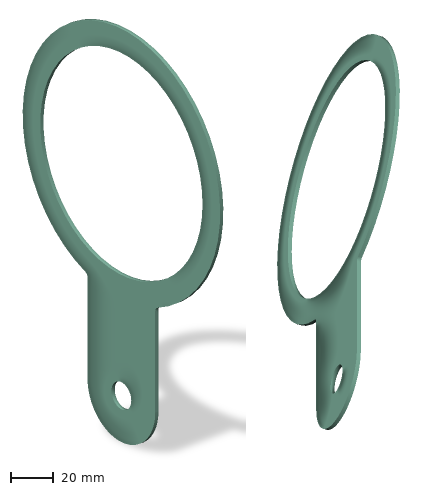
import cadquery as cq
import math

thickness = 2.0
ring_outer_diameter = 140.0
ring_bore_diameter = 115.0
tab_width = 48.0
tab_hole_diameter = 14.0
tab_hole_distance = 120.0
corner_fillet_radius = 2.5

corner_z = -math.sqrt((ring_outer_diameter / 2) ** 2 - (tab_width / 2) ** 2)
corner_search_size = 1.0


def plate_sketch():
    """XZ sketch plane on the +Y face, so the plate is centred on Y = 0."""
    return cq.Workplane("XZ", origin=(0, thickness / 2, 0))


def disc(diameter, centre_z):
    """Flat disc in the XZ plane, as thick as the plate."""
    return (
        plate_sketch()
        .center(0, centre_z)
        .circle(diameter / 2)
        .extrude(thickness)
    )


def tab():
    """Strip from the ring centre to the tab hole, with a full-radius end."""
    strip = (
        plate_sketch()
        .center(0, -tab_hole_distance / 2)
        .rect(tab_width, tab_hole_distance)
        .extrude(thickness)
    )
    return strip.union(disc(tab_width, -tab_hole_distance))


def fillet_corner(plate, corner_x):
    """Round the inside corner between the ring and one side of the tab."""
    half_box = corner_search_size / 2
    corner_edge = cq.selectors.BoxSelector(
        (corner_x - half_box, -thickness, corner_z - half_box),
        (corner_x + half_box, thickness, corner_z + half_box),
    )
    return plate.edges("|Y").edges(corner_edge).fillet(corner_fillet_radius)


plate = disc(ring_outer_diameter, 0).union(tab())
for side in (-1, 1):
    plate = fillet_corner(plate, side * tab_width / 2)

plate = plate.cut(disc(ring_bore_diameter, 0))
result = plate.cut(disc(tab_hole_diameter, -tab_hole_distance))